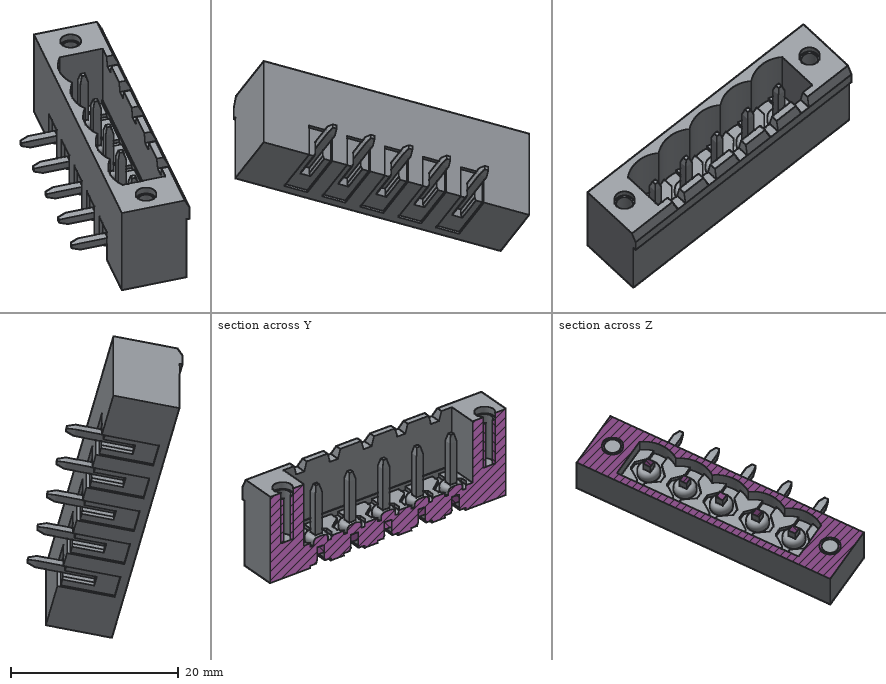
import cadquery as cq

LENGTH = 35.0
POLES = 5
PITCH = LENGTH / (POLES + 2)
POLE_XS = [PITCH * (i - (POLES - 1) / 2) for i in range(POLES)]
SLEEVE_XS = [POLE_XS[0] - PITCH, POLE_XS[-1] + PITCH]
POLE_Y = 3.8

HEIGHT = 12.0
DEPTH = 8.5
LIP_STEP = 0.4
LIP_HEIGHT = 3.0
LIP_CHAMFER_Y = 0.63
LIP_CHAMFER_Z = 1.25

POCKET_HALF_LENGTH = POLES * PITCH / 2
POCKET_BACK_Y = 7.05
LEDGE_DEPTH = 0.1
LEDGE_HEIGHT = 0.5
LEDGE_FRONT_Y = POCKET_BACK_Y - LEDGE_DEPTH
POCKET_CUSP_Y = 1.68
POCKET_ARC_Y = 0.85
POCKET_FLOOR_Z = 3.5

KEY_DEPTH = 0.5
KEY_FLOOR_Z = POCKET_FLOOR_Z - KEY_DEPTH
KEY_BACK_WIDTH = 0.98
KEY_WIDTH = 4.15
KEY_FRONT_WIDTH = 1.9
KEY_BACK_NECK_Y = 5.75
KEY_BACK_SHOULDER_Y = 4.55
KEY_FRONT_SHOULDER_Y = 3.55
KEY_FRONT_NECK_Y = 2.3

BOSS_DIAMETER = 2.8
BOSS_HEIGHT = 1.0
BOSS_ROUND = 0.6

NOTCH_TOP_WIDTH = 1.9
NOTCH_BOTTOM_WIDTH = 1.2
NOTCH_DEPTH = 1.25

PIN_SIZE = PITCH / 5
PIN_TIP_SIZE = 0.5
PIN_TAPER = 1.0
PIN_LEG_Z = 2.0
PIN_REACH = 4.0
PIN_TOP_Z = 10.75
PIN_BACK_Y = POLE_Y + PIN_SIZE / 2
PIN_LEG_TOP_Z = PIN_LEG_Z + PIN_SIZE / 2
PIN_LEG_BOTTOM_Z = PIN_LEG_Z - PIN_SIZE / 2

WINDOW_WIDTH = 3.05
WINDOW_HEIGHT = 4.3
WINDOW_DEPTH = 0.42
CHANNEL_HEIGHT = 0.3
FLARE_TOP_Z = 0.75
FLARE_WIDTH = 1.33

SLEEVE_OUTER = 2.5
SLEEVE_INNER = 2.0
SLEEVE_RECESS = 0.9
SCREW_HOLE_DEPTH = 7.0


def block(x_mid, width, y_min, y_max, z_min, z_max):
    """Axis-aligned box centred on x_mid."""
    corner = (x_mid - width / 2, y_min, z_min)
    return cq.Workplane("XY").box(width, y_max - y_min, z_max - z_min, centered=False).translate(corner)


def mirrored_outline(half):
    """Close a right-hand half outline with its reflection in the vertical axis."""
    return half + [(-u, v) for u, v in reversed(half)]


def housing_block():
    wall_y = DEPTH - LIP_STEP
    lip_z = HEIGHT - LIP_HEIGHT
    profile = [
        (0, 0),
        (wall_y, 0),
        (wall_y, lip_z),
        (DEPTH, lip_z),
        (DEPTH, HEIGHT - LIP_CHAMFER_Z),
        (DEPTH - LIP_CHAMFER_Y, HEIGHT),
        (0, HEIGHT),
    ]
    return cq.Workplane("YZ").polyline(profile).close().extrude(LENGTH / 2, both=True)


def pocket():
    outline = (
        cq.Workplane("XY")
        .workplane(offset=POCKET_FLOOR_Z)
        .moveTo(-POCKET_HALF_LENGTH, POCKET_BACK_Y)
        .lineTo(-POCKET_HALF_LENGTH, POCKET_CUSP_Y)
    )
    for x in POLE_XS:
        outline = outline.threePointArc((x, POCKET_ARC_Y), (x + PITCH / 2, POCKET_CUSP_Y))
    return outline.lineTo(POCKET_HALF_LENGTH, POCKET_BACK_Y).close().extrude(HEIGHT - POCKET_FLOOR_Z)


def back_ledge():
    top_z = POCKET_FLOOR_Z + LEDGE_HEIGHT
    return block(0, 2 * POCKET_HALF_LENGTH, LEDGE_FRONT_Y, POCKET_BACK_Y, POCKET_FLOOR_Z, top_z)


def key_recess(x):
    half = [
        (KEY_FRONT_WIDTH / 2, 0),
        (KEY_FRONT_WIDTH / 2, KEY_FRONT_NECK_Y),
        (KEY_WIDTH / 2, KEY_FRONT_SHOULDER_Y),
        (KEY_WIDTH / 2, KEY_BACK_SHOULDER_Y),
        (KEY_BACK_WIDTH / 2, KEY_BACK_NECK_Y),
        (KEY_BACK_WIDTH / 2, LEDGE_FRONT_Y),
    ]
    recess = (
        cq.Workplane("XY")
        .polyline(mirrored_outline(half))
        .close()
        .extrude(KEY_DEPTH)
        .translate((x, 0, KEY_FLOOR_Z))
    )
    return recess.intersect(pocket().translate((0, 0, KEY_FLOOR_Z - POCKET_FLOOR_Z)))


def boss(x):
    return (
        cq.Workplane("XY")
        .circle(BOSS_DIAMETER / 2)
        .extrude(BOSS_HEIGHT)
        .faces(">Z")
        .edges()
        .fillet(BOSS_ROUND)
        .translate((x, POLE_Y, KEY_FLOOR_Z))
    )


def lip_notch(x):
    half = [(NOTCH_BOTTOM_WIDTH / 2, HEIGHT - NOTCH_DEPTH), (NOTCH_TOP_WIDTH / 2, HEIGHT)]
    return (
        cq.Workplane("XZ", origin=(x, DEPTH, 0))
        .polyline(mirrored_outline(half))
        .close()
        .extrude(DEPTH - POCKET_BACK_Y)
    )


def pin_entry(x):
    """Front window, shallow underside channel and flared slot that let the pin in from below."""
    window = block(x, WINDOW_WIDTH, 0, WINDOW_DEPTH, 0, WINDOW_HEIGHT)
    channel = block(x, WINDOW_WIDTH, 0, POCKET_BACK_Y, 0, CHANNEL_HEIGHT)
    half = [
        (FLARE_WIDTH / 2, CHANNEL_HEIGHT),
        (PIN_SIZE / 2, FLARE_TOP_Z),
        (PIN_SIZE / 2, PIN_LEG_TOP_Z),
    ]
    slot = (
        cq.Workplane("XZ", origin=(x, PIN_BACK_Y, 0))
        .polyline(mirrored_outline(half))
        .close()
        .extrude(PIN_BACK_Y)
    )
    return window.union(channel).union(slot)


def pin_hole(x):
    front_y = PIN_BACK_Y - PIN_SIZE
    return block(x, PIN_SIZE, front_y, PIN_BACK_Y, PIN_LEG_TOP_Z, KEY_FLOOR_Z + BOSS_HEIGHT)


def screw_hole(x):
    hole = cq.Workplane("XY").circle(SLEEVE_OUTER / 2).extrude(SCREW_HOLE_DEPTH)
    return hole.translate((x, POLE_Y, HEIGHT - SCREW_HOLE_DEPTH))


def make_housing():
    body = housing_block().cut(pocket()).union(back_ledge())
    for x in POLE_XS:
        body = body.cut(key_recess(x)).union(boss(x))
        body = body.cut(lip_notch(x)).cut(pin_entry(x)).cut(pin_hole(x))
    for x in SLEEVE_XS:
        body = body.cut(screw_hole(x))
    return body


def pin_taper(plane):
    """Square frustum standing on the given plane."""
    return (
        cq.Workplane(plane)
        .rect(PIN_SIZE, PIN_SIZE)
        .workplane(offset=PIN_TAPER)
        .rect(PIN_TIP_SIZE, PIN_TIP_SIZE)
        .loft(ruled=True)
    )


def make_pin(x):
    foot_y = PIN_TAPER - PIN_REACH
    neck_z = PIN_TOP_Z - PIN_TAPER
    foot = block(x, PIN_SIZE, foot_y, PIN_BACK_Y, PIN_LEG_BOTTOM_Z, PIN_LEG_TOP_Z)
    post = block(x, PIN_SIZE, PIN_BACK_Y - PIN_SIZE, PIN_BACK_Y, PIN_LEG_BOTTOM_Z, neck_z)
    foot_tip = pin_taper("XZ").translate((x, foot_y, PIN_LEG_Z))
    post_tip = pin_taper("XY").translate((x, POLE_Y, neck_z))
    return foot.union(post).union(foot_tip).union(post_tip)


def make_sleeve(x):
    tube = (
        cq.Workplane("XY")
        .circle(SLEEVE_OUTER / 2)
        .circle(SLEEVE_INNER / 2)
        .extrude(SCREW_HOLE_DEPTH - SLEEVE_RECESS)
    )
    return tube.translate((x, POLE_Y, HEIGHT - SCREW_HOLE_DEPTH))


housing = make_housing()
pins = [make_pin(x) for x in POLE_XS]
sleeves = [make_sleeve(x) for x in SLEEVE_XS]

result = cq.Compound.makeCompound(
    [housing.val()] + [pin.val() for pin in pins] + [sleeve.val() for sleeve in sleeves]
)